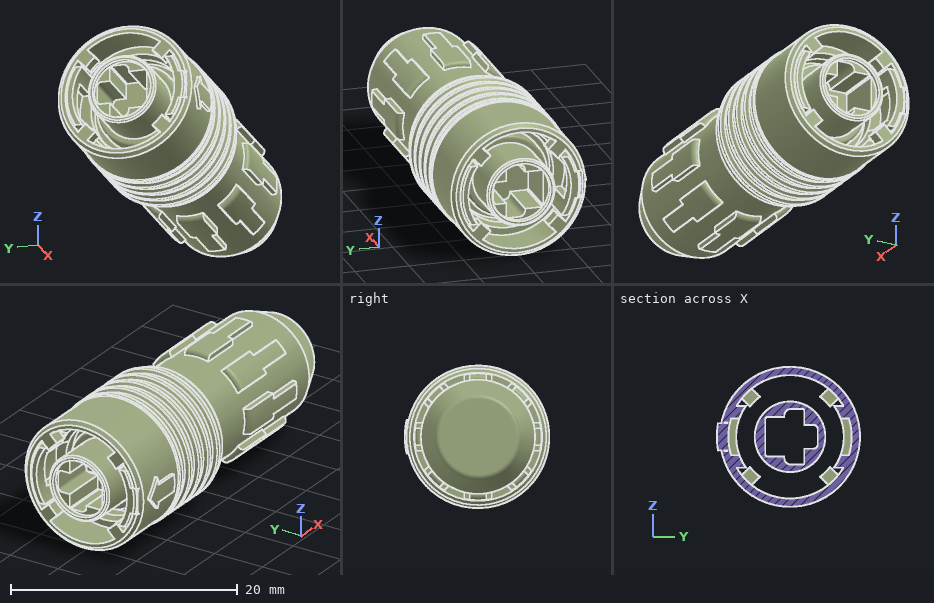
import cadquery as cq

TOTAL_LENGTH = 32.9

SLEEVE_FRONT_X = 0.6
SLEEVE_END_X = 14.48
SLEEVE_RADIUS = 6.2
SLEEVE_CHAMFER = 0.35
GRIP_RADIUS = 6.02
RIB_DIAMETER = 12.6
RIB_RADIUS = RIB_DIAMETER / 2
RIB_COUNT = 5
FIRST_RIB_X = 6.97
RIB_PITCH = 1.5
RIB_FOOT_WIDTH = 1.0
RIB_CREST_WIDTH = 0.43

BODY_RADIUS = 5.05
TAPER_START_X = 29.85
END_RADIUS = 3.7
END_FILLET = 0.5

KEY_COUNT = 8
KEY_START_X = 19.28
KEY_STEP_X = 23.3
KEY_END_X = 27.27
KEY_RADIUS = 5.6
KEY_WIDE = 2.47
KEY_NARROW = 1.48
KEY_FILLET = 0.5

ARROW_TO_RIB_DEPTH = 12.75
ARROW_RADIUS = ARROW_TO_RIB_DEPTH - RIB_RADIUS
ARROW_TIP_X = 1.6
ARROW_SHOULDER_X = 3.1
ARROW_END_X = 5.6
ARROW_HEAD_WIDTH = 3.03
ARROW_SHAFT_WIDTH = 1.68

RECESS_RADIUS = 5.43
LEDGE_X = 4.2
LEDGE_INNER_RADIUS = 4.75
THROAT_X = 4.8
FLOOR_X = 5.92
THROAT_RADIUS = 4.4
COLLAR_FRONT_X = 4.45
COLLAR_RADIUS = 3.8
COLLAR_ROUND = 0.33

TUBE_RADIUS = 3.13
TUBE_CHAMFER = 0.15
BORE_RADIUS = 2.7
BORE_DEPTH = 0.5
SOCKET_DEPTH = 4.6
SOCKET_FLAT_Y = -2.17
SOCKET_BROAD_HEIGHT = 3.45
SOCKET_TALL_Y = (-0.5, 1.25)
SOCKET_TALL_HEIGHT = 4.87
SOCKET_TALL_CORNER = 0.55
SOCKET_NARROW_END_Y = 2.45
SOCKET_NARROW_HEIGHT = 2.07
SOCKET_NARROW_CORNER = 0.35

LUG_COUNT = 4
LUG_WIDTH = 1.25
LUG_INNER_RADIUS = THROAT_RADIUS
LUG_END_X = 1.85

TAB_FRONT_X = 0.5
TAB_WIDTH = 5.45
TAB_CHAMFER = 0.2
WINDOW_START_X = 1.8
WINDOW_END_X = THROAT_X
WINDOW_WIDTH = 3.22
TAB_KEY_WIDTH = 2.5
TAB_KEY_RADIUS = 5.65
KEY_SLOT_REACH = 5.8


def revolve_about_x(profile):
    """Solid of revolution about X from a closed XY profile."""
    return profile.close().revolve(360, (0, 0, 0), (1, 0, 0))


def cylinder(start_x, end_x, radius):
    """Solid cylinder on the X axis."""
    return cq.Workplane("YZ").workplane(offset=start_x).circle(radius).extrude(end_x - start_x)


def box(x_range, y_range, z_width):
    """Box centred on Z = 0 between two X and two Y limits."""
    return (
        cq.Workplane("XY")
        .box(x_range[1] - x_range[0], y_range[1] - y_range[0], z_width, centered=(False, False, True))
        .translate((x_range[0], y_range[0], 0))
    )


def ring_of(shape, count, first_angle=0):
    """The shape repeated evenly about X."""
    copies = cq.Workplane("XY")
    for i in range(count):
        copies = copies.add(shape.rotate((0, 0, 0), (1, 0, 0), first_angle + i * 360 / count))
    return copies.combine()


def make_shell():
    """Sleeve, grip ribs and tapered rear body as one revolved blank."""
    profile = (
        cq.Workplane("XY")
        .moveTo(SLEEVE_FRONT_X, 0)
        .lineTo(SLEEVE_FRONT_X, -(SLEEVE_RADIUS - SLEEVE_CHAMFER))
        .lineTo(SLEEVE_FRONT_X + SLEEVE_CHAMFER, -SLEEVE_RADIUS)
        .lineTo(FIRST_RIB_X - RIB_CREST_WIDTH / 2 - (RIB_RADIUS - SLEEVE_RADIUS), -SLEEVE_RADIUS)
    )
    for i in range(RIB_COUNT):
        rib_x = FIRST_RIB_X + i * RIB_PITCH
        if i > 0:
            profile = profile.lineTo(rib_x - RIB_FOOT_WIDTH / 2, -GRIP_RADIUS)
        profile = (
            profile
            .lineTo(rib_x - RIB_CREST_WIDTH / 2, -RIB_RADIUS)
            .lineTo(rib_x + RIB_CREST_WIDTH / 2, -RIB_RADIUS)
            .lineTo(rib_x + RIB_FOOT_WIDTH / 2, -GRIP_RADIUS)
        )
    profile = (
        profile
        .lineTo(SLEEVE_END_X - SLEEVE_CHAMFER, -GRIP_RADIUS)
        .lineTo(SLEEVE_END_X, -(GRIP_RADIUS - SLEEVE_CHAMFER))
        .lineTo(SLEEVE_END_X, -BODY_RADIUS)
        .lineTo(TAPER_START_X, -BODY_RADIUS)
        .lineTo(TOTAL_LENGTH, -END_RADIUS)
        .lineTo(TOTAL_LENGTH, 0)
    )
    return revolve_about_x(profile).faces(">X").edges().fillet(END_FILLET)


def make_recess():
    """Cutter for the recess: straight bore, tapered ledge, then a straight throat."""
    profile = (
        cq.Workplane("XY")
        .moveTo(SLEEVE_FRONT_X, 0)
        .lineTo(SLEEVE_FRONT_X, -RECESS_RADIUS)
        .lineTo(LEDGE_X, -RECESS_RADIUS)
        .lineTo(LEDGE_X, -LEDGE_INNER_RADIUS)
        .lineTo(THROAT_X, -THROAT_RADIUS)
        .lineTo(FLOOR_X, -THROAT_RADIUS)
        .lineTo(FLOOR_X, 0)
    )
    return revolve_about_x(profile)


def make_body_keys():
    """Keys with a wide front and a narrow rear, rounded at both ends."""
    ring = cylinder(KEY_START_X, KEY_END_X, KEY_RADIUS).edges("%CIRCLE").fillet(KEY_FILLET)
    wide = box((KEY_START_X, KEY_STEP_X), (0, KEY_RADIUS), KEY_WIDE)
    narrow = box((KEY_STEP_X, KEY_END_X), (0, KEY_RADIUS), KEY_NARROW)
    return ring_of(ring.intersect(wide.union(narrow)), KEY_COUNT)


def make_arrow():
    """Arrow whose top follows a cylinder just outside the sleeve."""
    outline = [
        (ARROW_TIP_X, 0),
        (ARROW_SHOULDER_X, ARROW_HEAD_WIDTH / 2),
        (ARROW_SHOULDER_X, ARROW_SHAFT_WIDTH / 2),
        (ARROW_END_X, ARROW_SHAFT_WIDTH / 2),
        (ARROW_END_X, -ARROW_SHAFT_WIDTH / 2),
        (ARROW_SHOULDER_X, -ARROW_SHAFT_WIDTH / 2),
        (ARROW_SHOULDER_X, -ARROW_HEAD_WIDTH / 2),
    ]
    prism = (
        cq.Workplane("XZ").workplane(offset=RECESS_RADIUS)
        .polyline(outline).close().extrude(ARROW_RADIUS - RECESS_RADIUS)
    )
    skin = cylinder(ARROW_TIP_X, ARROW_END_X, ARROW_RADIUS)
    return prism.intersect(skin)


def make_lugs():
    """Parallel-sided lugs whose roots are buried in the sleeve wall."""
    front_face_radius = SLEEVE_RADIUS - SLEEVE_CHAMFER
    root_radius = (RECESS_RADIUS + front_face_radius) / 2
    lug = box((SLEEVE_FRONT_X, LUG_END_X), (0, front_face_radius), LUG_WIDTH)
    lug = lug.intersect(cylinder(SLEEVE_FRONT_X, LUG_END_X, root_radius))
    lug = lug.cut(cylinder(SLEEVE_FRONT_X, LUG_END_X, LUG_INNER_RADIUS))
    return ring_of(lug, LUG_COUNT, first_angle=180 / LUG_COUNT)


def make_tab_ring(outer_radius):
    """Ring with the cross-section of a tab, chamfered at its front outer edge."""
    ring = cylinder(TAB_FRONT_X, LEDGE_X, outer_radius).faces("<X").edges().chamfer(TAB_CHAMFER)
    return ring.cut(cylinder(TAB_FRONT_X, LEDGE_X, LEDGE_INNER_RADIUS))


def make_tabs():
    """Curved tabs on the +Y and -Y sides, with a thicker locating key on the -Y one."""
    tab_space = box((TAB_FRONT_X, LEDGE_X), (-RECESS_RADIUS, RECESS_RADIUS), TAB_WIDTH)
    key_space = box((TAB_FRONT_X, LEDGE_X), (-TAB_KEY_RADIUS, 0), TAB_KEY_WIDTH)
    tabs = make_tab_ring(RECESS_RADIUS).intersect(tab_space)
    key = make_tab_ring(TAB_KEY_RADIUS).intersect(key_space)
    return tabs.union(key)


def make_key_slot():
    """Cutter for the flat-bottomed sleeve slot that clears the tab key."""
    return box((SLEEVE_FRONT_X, LEDGE_X), (-KEY_SLOT_REACH, 0), TAB_KEY_WIDTH)


def make_windows():
    """Cutter for the openings through both tabs, reaching past the ledge."""
    ring = cylinder(WINDOW_START_X, WINDOW_END_X, RECESS_RADIUS)
    ring = ring.cut(cylinder(WINDOW_START_X, WINDOW_END_X, THROAT_RADIUS))
    opening = box((WINDOW_START_X, WINDOW_END_X), (-RECESS_RADIUS, RECESS_RADIUS), WINDOW_WIDTH)
    return ring.intersect(opening)


def make_socket():
    """Cutter for the stepped cross-shaped contact opening."""
    x_range = (BORE_DEPTH, BORE_DEPTH + SOCKET_DEPTH)
    tall_start_y, tall_end_y = SOCKET_TALL_Y
    broad = box(x_range, (SOCKET_FLAT_Y, tall_end_y), SOCKET_BROAD_HEIGHT)
    tall = box(x_range, SOCKET_TALL_Y, SOCKET_TALL_HEIGHT)
    tall = tall.edges("|X and <Y").fillet(SOCKET_TALL_CORNER)
    narrow = box(x_range, (tall_start_y, SOCKET_NARROW_END_Y), SOCKET_NARROW_HEIGHT)
    narrow = narrow.edges("|X and >Y").fillet(SOCKET_NARROW_CORNER)
    return broad.union(tall).union(narrow).intersect(cylinder(*x_range, BORE_RADIUS))


collar = cylinder(COLLAR_FRONT_X, FLOOR_X, COLLAR_RADIUS).faces("<X").edges().fillet(COLLAR_ROUND)
tube = cylinder(0, FLOOR_X, TUBE_RADIUS).faces("<X").edges().chamfer(TUBE_CHAMFER)

result = (
    make_shell()
    .cut(make_recess())
    .cut(make_key_slot())
    .union(make_body_keys())
    .union(make_arrow())
    .union(make_tabs())
    .cut(make_windows())
    .union(make_lugs())
    .union(collar)
    .union(tube)
    .cut(cylinder(0, BORE_DEPTH, BORE_RADIUS))
    .cut(make_socket())
)